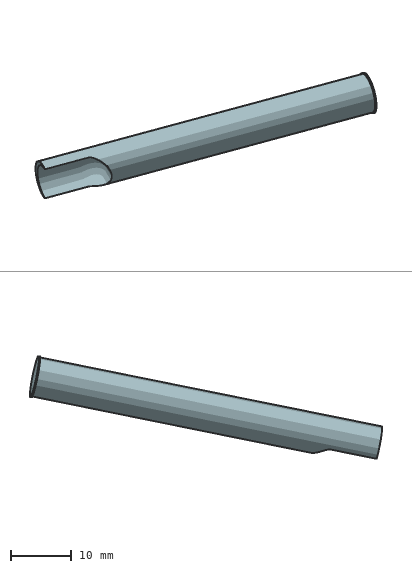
import cadquery as cq
import math

length = 58.0
body_radius = 3.3
flange_radius = 3.45
flange_thickness = 0.25

scoop_radius = 3.2
scoop_end_gap = 10.9

front_y = -length / 2
rear_y = length / 2
scoop_x = math.sqrt(body_radius**2 - scoop_radius**2)
scoop_y = front_y + scoop_end_gap - scoop_radius


def rod(radius, start_y, end_y):
    """Cylinder parallel to Y on the body axis."""
    start = cq.Vector(0, start_y, 0)
    return cq.Workplane(cq.Solid.makeCylinder(radius, end_y - start_y, start, cq.Vector(0, 1, 0)))


def make_pin():
    """Round body with a thin flange at the rear end."""
    body = rod(body_radius, front_y, rear_y)
    flange = rod(flange_radius, rear_y - flange_thickness, rear_y)
    return body.union(flange)


def make_channel():
    """Round, ball-ended channel parallel to Y."""
    return (
        cq.Workplane("XY", origin=(scoop_x, 0, 0))
        .moveTo(0, front_y)
        .lineTo(0, scoop_y + scoop_radius)
        .radiusArc((-scoop_radius, scoop_y), -scoop_radius)
        .lineTo(-scoop_radius, front_y)
        .close()
        .revolve(360, (0, 0, 0), (0, 1, 0))
    )


def make_side_opening():
    """Full-height opening on the +X side, ending in a half-round matching the ball."""
    round_end = cq.Workplane("YZ", origin=(scoop_x, scoop_y, 0)).circle(scoop_radius).extrude(body_radius)
    open_side = cq.Workplane("XY", origin=(scoop_x, front_y, 0)).box(
        body_radius, scoop_y - front_y, 2 * body_radius, centered=(False, False, True)
    )
    return round_end.union(open_side)


result = make_pin().cut(make_side_opening()).cut(make_channel())